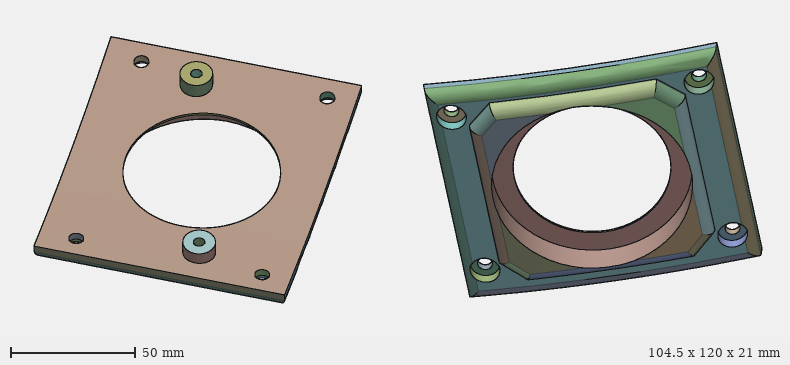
import cadquery as cq
import math

length = 120.0
width = 104.5
height = 21.1
plate_thickness = 7.9
plate_round = 5.0
frame_height = 5.4
edge_rise = 3.1

center_x = 1.7
frame_size = 88.3
frame_chamfer = 10.1
frame_round = 5.0
opening_diameter = 63.5
recess_diameter = 80.9
recess_web = 1.0

boss_diameter = 13.2
boss_hole_diameter = 4.5
boss_hole_depth = 7.2
boss_offset_x = 12.6
boss_offset_y = 44.9
mount_hole_diameter = 6.0
mount_bore_diameter = 12.0
mount_web = 3.4
mount_spacing_x = 77.5
mount_spacing_y = 101.3

top_z = plate_thickness + frame_height
half_length = length / 2
bend_radius = (half_length**2 + edge_rise**2) / (2 * edge_rise)
axis_z = top_z + bend_radius
end_angle = math.asin(half_length / bend_radius)
mount_points = [
    (center_x + side_x * mount_spacing_x / 2, side_y * mount_spacing_y / 2)
    for side_x in (-1, 1)
    for side_y in (-1, 1)
]
boss_points = [
    (-boss_offset_x, boss_offset_y),
    (boss_offset_x, -boss_offset_y),
]


def bent_slab(depth_above, depth_below, slab_width):
    """Curved slab with radial ends, between two depths below the top face."""
    inner = bend_radius + depth_above
    outer = bend_radius + depth_below

    def at(radius, angle):
        return (radius * math.sin(angle), axis_z - radius * math.cos(angle))

    lean = math.sin(end_angle)
    end_y, end_z = at(inner, end_angle)
    low_y = end_y - (depth_below - depth_above) * lean
    low_z = axis_z - math.sqrt(outer**2 - low_y**2)
    return (
        cq.Workplane("YZ")
        .moveTo(-end_y, end_z)
        .threePointArc(at(inner, 0), (end_y, end_z))
        .lineTo(low_y, low_z)
        .threePointArc(at(outer, 0), (-low_y, low_z))
        .close()
        .extrude(slab_width / 2, both=True)
    )


def posts(points, diameter, bottom, top):
    """Vertical cylinders at the given points."""
    return (
        cq.Workplane("XY", origin=(0, 0, bottom))
        .pushPoints(points)
        .circle(diameter / 2)
        .extrude(top - bottom)
    )


def plate():
    return bent_slab(0, plate_thickness, width).faces("<Z").edges().fillet(plate_round)


def frame():
    block = (
        cq.Workplane("XY")
        .center(center_x, 0)
        .rect(frame_size, frame_size)
        .extrude(height)
        .edges("|Z")
        .chamfer(frame_chamfer)
    )
    layer = bent_slab(plate_thickness / 2, top_z, 2 * width)
    return block.intersect(layer).faces("<Z").edges().fillet(frame_round)


def bored_from_below(body, points, diameter, web):
    """Bore upward, stopping on a surface parallel to the bent top face."""
    bores = posts(points, diameter, -height, height)
    return body.cut(bores.intersect(bent_slab(web, 2 * height, 2 * width)))


base = plate().union(frame())
base = base.union(posts(boss_points, boss_diameter, top_z, height))

base = bored_from_below(base, [(center_x, 0)], recess_diameter, recess_web)
base = bored_from_below(base, mount_points, mount_bore_diameter, mount_web)

base = base.cut(posts([(center_x, 0)], opening_diameter, -height, height))
base = base.cut(posts(mount_points, mount_hole_diameter, -height, height))
result = base.cut(posts(boss_points, boss_hole_diameter, height - boss_hole_depth, height))